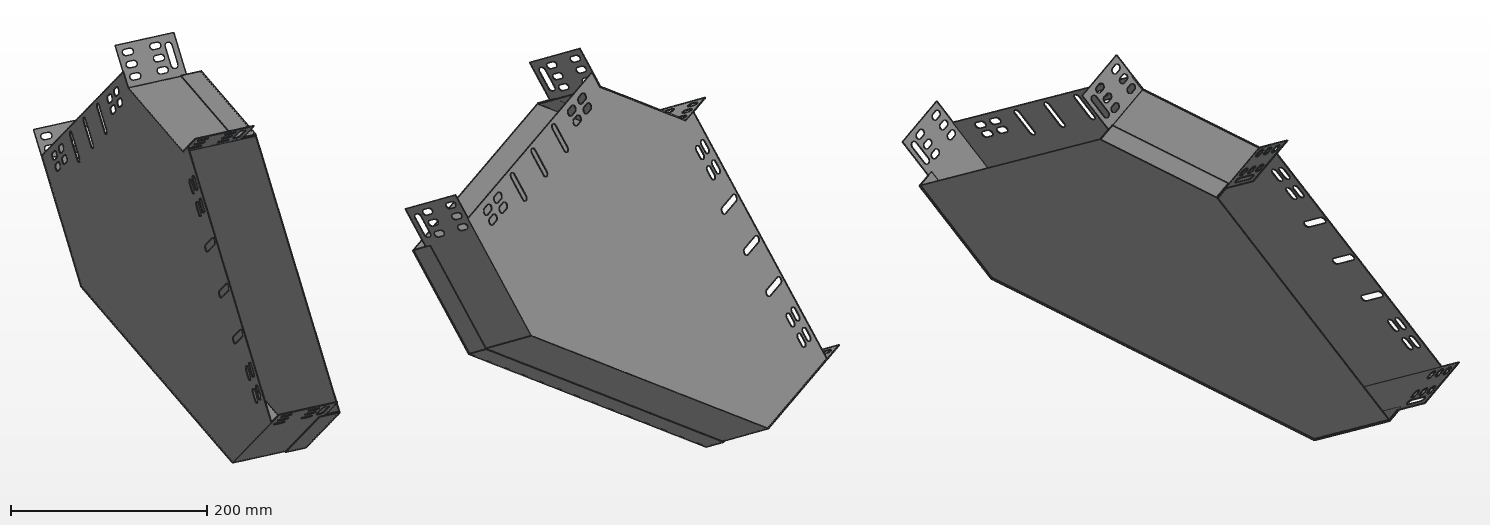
import cadquery as cq
import math

sheet = 1.0
tray_width = 301.0
throat_length = 140.5
throat_leg = 18.0
turn = 45.0
corner_growth = math.tan(math.radians(turn / 2))
leg_x = math.cos(math.radians(turn))
leg_z = math.sin(math.radians(turn))

wall_height = 80.5
flap_height = 65.0
skirt_depth = 23.0

flap_length = 28.5
lid_setback = 17.0

floor_slot_width = 7.5
short_slot_length = 16.0
short_slot_offsets = (89.0, 114.0)
short_slot_insets = (11.0, 23.0)
long_slot_length = 33.5
long_slot_pitch = 50.0
long_slot_inset = 21.0

flap_slot_height = 56.0
flap_slot_length = 28.5
flap_slot_width = 7.5
flap_hole_width = 7.0
flap_hole_length = 12.0
flap_column_pitch = 13.0
flap_hole_heights = (11.5, 42.0)
flap_hole_middle = 6.0

roll_about_y = -1.6
yaw_about_z = 1.25
pitch_about_x = -0.4


def bend_points(offset, reach):
    """End, corner, corner, end of a bent line at `offset` from the outer wall.

    The ends lie `reach` beyond the edges of the floor.
    """
    growth = (tray_width - offset) * corner_growth
    corner_x = throat_length / 2 + growth
    leg = throat_leg + growth + reach
    end_x = corner_x + leg * leg_x
    end_z = offset + leg * leg_z
    return [(-end_x, end_z), (-corner_x, offset), (corner_x, offset), (end_x, end_z)]


def strip(near, far, reach, bottom, top):
    """Solid between two bent lines, from height `bottom` to height `top` along +Y."""
    outline = bend_points(near, reach) + bend_points(far, reach)[::-1]
    return cq.Workplane("XZ", origin=(0, bottom, 0)).polyline(outline).close().extrude(bottom - top)


def both_ends(cutter):
    """Cutter for the +X end together with its mirror image at the -X end."""
    return cutter.union(cutter.mirror("YZ"))


def floor_slots():
    """Rows of short and long slots through the floor at both open ends."""
    x, z = bend_points(tray_width / 2, 0)[3]
    end_plane = cq.Plane(origin=(x, 0, z), xDir=(-leg_x, 0, -leg_z), normal=(0, -1, 0))
    short_spots = [
        (inset, side * offset)
        for inset in short_slot_insets
        for offset in short_slot_offsets
        for side in (-1, 1)
    ]
    long_spots = [(long_slot_inset, row * long_slot_pitch) for row in (-1, 0, 1)]
    short_slots = (
        cq.Workplane(end_plane).pushPoints(short_spots)
        .slot2D(short_slot_length, floor_slot_width, 90).extrude(sheet, both=True)
    )
    long_slots = (
        cq.Workplane(end_plane).pushPoints(long_spots)
        .slot2D(long_slot_length, floor_slot_width).extrude(sheet, both=True)
    )
    return both_ends(short_slots.union(long_slots))


def flap_slots(offset):
    """One lengthwise slot and two rows of upright slots through both flaps of one wall."""
    x, z = bend_points(offset, 0)[3]
    flap_plane = cq.Plane(origin=(x, 0, z), xDir=(leg_x, 0, leg_z), normal=(-leg_z, 0, leg_x))
    hole_spots = [
        (flap_hole_middle + column * flap_column_pitch, height)
        for column in (-1, 0, 1)
        for height in flap_hole_heights
    ]
    lengthwise = (
        cq.Workplane(flap_plane).center(flap_hole_middle, flap_slot_height)
        .slot2D(flap_slot_length, flap_slot_width).extrude(2 * sheet, both=True)
    )
    upright = (
        cq.Workplane(flap_plane).pushPoints(hole_spots)
        .slot2D(flap_hole_length, flap_hole_width, 90).extrude(2 * sheet, both=True)
    )
    return both_ends(lengthwise.union(upright))


def tray():
    """Floor with two bent walls; the walls step down and run on past the floor as coupling flaps."""
    body = strip(0, tray_width, 0, 0, sheet)
    for near in (0, tray_width - sheet):
        body = body.union(strip(near, near + sheet, flap_length, 0, flap_height))
        body = body.union(strip(near, near + sheet, -lid_setback, 0, wall_height))
    for offset in (0, tray_width):
        body = body.cut(flap_slots(offset))
    return body.cut(floor_slots())


def lid():
    """Plate resting on the walls, with skirts that hug their outsides."""
    top = wall_height + sheet
    body = strip(-sheet, tray_width + sheet, -lid_setback, wall_height, top)
    for near in (-sheet, tray_width):
        body = body.union(strip(near, near + sheet, -lid_setback, top - skirt_depth, top))
    return body


def placed(body):
    """Body turned to the slightly skewed attitude of the assembly."""
    origin = (0, 0, 0)
    turned = body.rotate(origin, (0, 1, 0), roll_about_y)
    turned = turned.rotate(origin, (0, 0, 1), yaw_about_z)
    return turned.rotate(origin, (1, 0, 0), pitch_about_x)


bend_tray = placed(tray())
bend_lid = placed(lid())
result = cq.Compound.makeCompound([bend_tray.solids().val(), bend_lid.solids().val()])